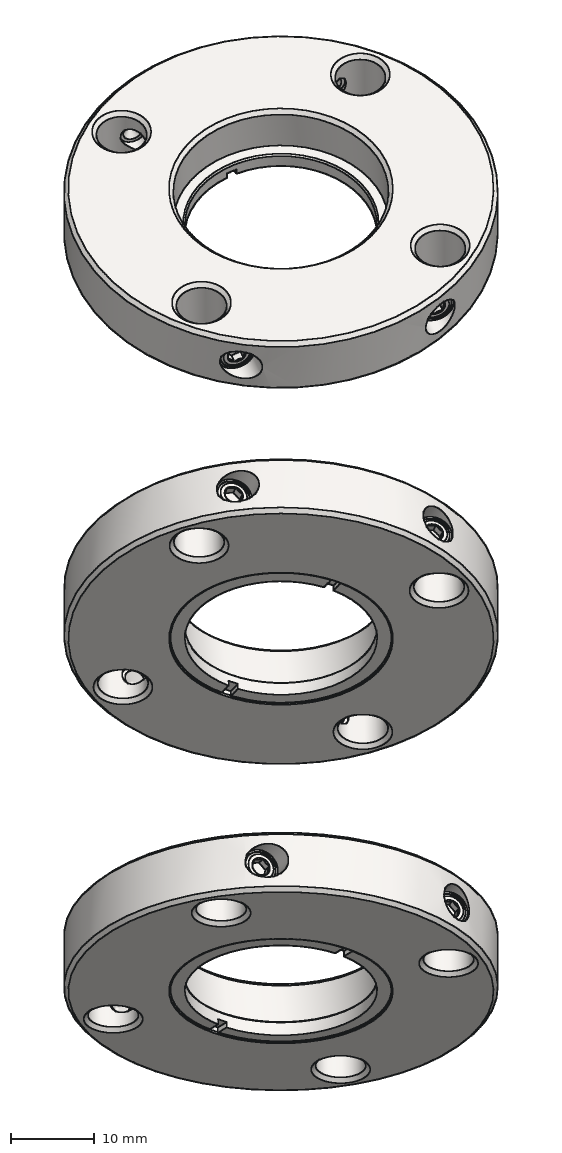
import cadquery as cq
import math

disc_diameter = 51.7
disc_height = 8.0
edge_chamfer = 0.5
mid_height = disc_height / 2

bore_diameter = 25.65
recess_diameter = 26.3
recess_depth = 2.2

ring_bottom = 0.1
ring_top = 2.0
ring_bore_diameter = 22.9
ring_bore_chamfer = 0.2
slot_width = 1.3
slot_depth = 0.7
slot_angle = 12.2

rod_hole_diameter = 6.0
rod_hole_offset = 15.0

screw_offset = 12.5
screw_diameter = 4.0
screw_length = 2.6
screw_head_x = 20.85
screw_tip_x = screw_head_x - screw_length
screw_end_diameter = 3.3
screw_chamfer_length = 0.15
cup_diameter = 2.4
tip_hole_diameter = screw_end_diameter
access_hole_diameter = 4.5
head_height_above_floor = 0.05
access_hole_floor_x = screw_head_x - head_height_above_floor

hex_across_flats = 2.0
hex_across_corners = hex_across_flats / math.cos(math.pi / 6)
hex_depth = 1.15
hex_turn = -16.0

signs = (-1, 1)


def bar_along_x(diameter, x_start, x_end, y):
    """Round bar at mid height, running along X between two positions."""
    plane = cq.Workplane("YZ", origin=(x_start, y, mid_height))
    return plane.circle(diameter / 2).extrude(x_end - x_start)


def make_screw_hole(sign_x, sign_y):
    """Stepped hole from a rod hole out through the rim."""
    y = sign_y * screw_offset
    steps = [
        (tip_hole_diameter, rod_hole_offset, screw_tip_x),
        (screw_diameter, screw_tip_x, access_hole_floor_x),
        (access_hole_diameter, access_hole_floor_x, disc_diameter / 2),
    ]
    hole = cq.Workplane("XY")
    for diameter, inner_x, outer_x in steps:
        hole = hole.add(bar_along_x(diameter, sign_x * inner_x, sign_x * outer_x, y))
    return hole.combine()


def make_housing():
    disc = cq.Workplane("XY").circle(disc_diameter / 2).circle(bore_diameter / 2).extrude(disc_height)
    rod_holes = (
        cq.Workplane("XY")
        .rect(2 * rod_hole_offset, 2 * rod_hole_offset, forConstruction=True)
        .vertices()
        .circle(rod_hole_diameter / 2)
        .extrude(disc_height)
    )
    housing = disc.cut(rod_holes)

    housing = housing.faces("<Z or >Z").edges().chamfer(edge_chamfer)

    recess = cq.Workplane("XY").circle(recess_diameter / 2).extrude(recess_depth)
    housing = housing.cut(recess)

    for sign_x in signs:
        for sign_y in signs:
            housing = housing.cut(make_screw_hole(sign_x, sign_y))
    return housing


def make_retaining_ring():
    base = cq.Workplane("XY", origin=(0, 0, ring_bottom))
    ring = base.circle(recess_diameter / 2).circle(ring_bore_diameter / 2).extrude(ring_top - ring_bottom)
    ring = ring.faces(">Z").edges(cq.selectors.RadiusNthSelector(0)).chamfer(ring_bore_chamfer)

    slot_bar = base.rect(2 * recess_diameter, slot_width).extrude(slot_depth)
    slot_bar = slot_bar.rotate((0, 0, 0), (0, 0, 1), slot_angle)
    return ring.cut(slot_bar)


def revolve_about_x(points):
    """Solid of revolution about X from a half profile of (x, radius) points."""
    return cq.Workplane("XY").polyline(points).close().revolve(360, (0, 0, 0), (1, 0, 0))


def make_set_screw(sign_x, sign_y):
    """Headless screw with a socket at its outer end and a cup point at its inner end."""
    radius = screw_diameter / 2
    end_radius = screw_end_diameter / 2
    cup_radius = cup_diameter / 2

    screw = revolve_about_x([
        (0, 0),
        (0, end_radius),
        (screw_chamfer_length, radius),
        (screw_length - screw_chamfer_length, radius),
        (screw_length, end_radius),
        (screw_length, cup_radius),
        (screw_length - cup_radius, 0),
    ])

    socket = cq.Workplane("YZ").transformed(rotate=(0, 0, hex_turn))
    socket = socket.polygon(6, hex_across_corners).extrude(hex_depth)
    countersink_depth = (hex_across_corners - hex_across_flats) / 2
    countersink = revolve_about_x([
        (0, 0),
        (0, hex_across_corners / 2),
        (countersink_depth, hex_across_flats / 2),
        (countersink_depth, 0),
    ])
    screw = screw.cut(socket).cut(countersink)

    if sign_x > 0:
        screw = screw.rotate((0, 0, 0), (0, 0, 1), 180)
    return screw.translate((sign_x * screw_head_x, sign_y * screw_offset, mid_height))


housing = make_housing()
retaining_ring = make_retaining_ring()
set_screws = [make_set_screw(sign_x, sign_y).val() for sign_x in signs for sign_y in signs]

result = cq.Compound.makeCompound([housing.val(), retaining_ring.val(), *set_screws])